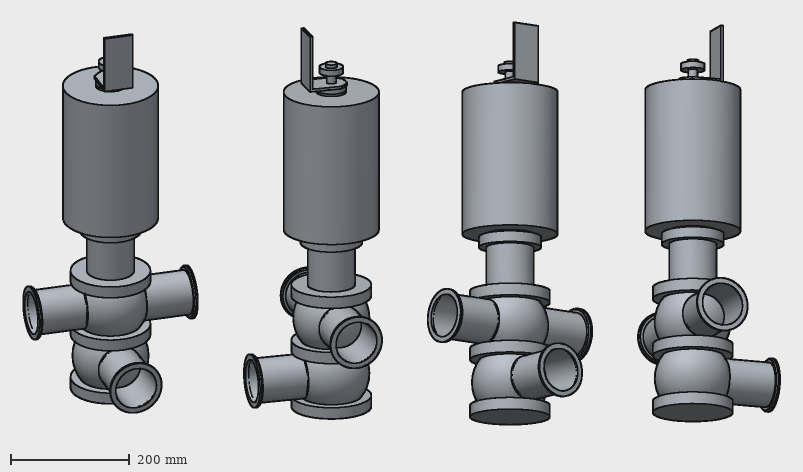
import cadquery as cq
import math

flange_dia = 135.0
flange_height = 20.0
flange_pitch = 98.0
chamber_dia = 129.0
chamber_seam_angle = 225
lower_chamber_z = (flange_height + flange_pitch) / 2
upper_chamber_z = lower_chamber_z + flange_pitch
valve_top = 2 * flange_pitch + flange_height

pipe_dia = 76.0
bore_dia = 72.0
pipe_reach = 140.0
ferrule_dia = 91.0
ferrule_rim = 3.5
ferrule_back_dia = 86.0
ferrule_length = 6.0

neck_dia = 80.0
collar_dia = 105.0
collar_bottom = 291.0
collar_height = 18.0
actuator_dia = 161.0
actuator_bottom = 313.5
actuator_top = 557.5

seat_width = 50.0
seat_split = 561.5
seat_top = 569.5
stem_dia = 16.0
knob_dia = 40.0
knob_bottom = 591.5
knob_height = 11.0
cap_dia = 19.5
cap_top = 608.0

bracket_top = 667.0
bracket_right = 45.5
plate_thickness = 5.0

octagon_half_flat = seat_width / 2 * math.tan(math.pi / 8)


def disc(diameter, bottom, top):
    """Vertical cylinder on the valve axis."""
    return cq.Workplane("XY").workplane(offset=bottom).circle(diameter / 2).extrude(top - bottom)


def pipe_branch(height, angle):
    """Pipe with a clamp ferrule, pointing along +X and then turned about Z."""
    profile = [
        (0, 0),
        (pipe_reach, 0),
        (pipe_reach, ferrule_dia / 2),
        (pipe_reach - ferrule_rim, ferrule_dia / 2),
        (pipe_reach - ferrule_length, ferrule_back_dia / 2),
        (pipe_reach - ferrule_length, pipe_dia / 2),
        (0, pipe_dia / 2),
    ]
    pipe = cq.Workplane("XY").polyline(profile).close().revolve(360, (0, 0, 0), (1, 0, 0))
    bore = cq.Workplane("YZ").circle(bore_dia / 2).extrude(pipe_reach)
    branch = pipe.cut(bore).rotate((0, 0, 0), (0, 0, 1), angle)
    return branch.translate((0, 0, height))


def ball_chamber(height):
    """Ball trimmed to the space between two neighbouring flanges."""
    half_gap = (flange_pitch - flange_height) / 2
    end_radius = math.sqrt((chamber_dia / 2) ** 2 - half_gap**2)
    return (
        cq.Workplane("XZ")
        .moveTo(0, -half_gap)
        .lineTo(end_radius, -half_gap)
        .threePointArc((chamber_dia / 2, 0), (end_radius, half_gap))
        .lineTo(0, half_gap)
        .close()
        .revolve(360, (0, 0, 0), (0, 1, 0))
        .rotate((0, 0, 0), (0, 0, 1), chamber_seam_angle)
        .translate((0, 0, height))
    )


def make_valve():
    """Valve housing, pipes and actuator with its top boss as one solid."""
    valve = disc(neck_dia, valve_top, actuator_bottom)
    for level in range(3):
        bottom = level * flange_pitch
        valve = valve.union(disc(flange_dia, bottom, bottom + flange_height))
    for height, angle in [(lower_chamber_z, 0), (upper_chamber_z, 90), (upper_chamber_z, -90)]:
        valve = valve.union(pipe_branch(height, angle))
    for height in (lower_chamber_z, upper_chamber_z):
        valve = valve.union(ball_chamber(height))
    valve = valve.union(disc(collar_dia, collar_bottom, collar_bottom + collar_height))
    valve = valve.union(disc(actuator_dia, actuator_bottom, actuator_top))
    return valve.union(disc(seat_width, actuator_top, seat_split))


def make_bracket():
    """Plate with a half-octagon end and an upright tab."""
    half_width = seat_width / 2
    outline = [
        (bracket_right, -half_width),
        (bracket_right, half_width),
        (-octagon_half_flat, half_width),
        (-half_width, octagon_half_flat),
        (-half_width, -octagon_half_flat),
        (-octagon_half_flat, -half_width),
    ]
    plate = cq.Workplane("XY").workplane(offset=seat_top).polyline(outline).close().extrude(plate_thickness)
    upright = cq.Workplane("XY").box(
        plate_thickness, seat_width, bracket_top - seat_top, centered=(False, True, False)
    )
    upright = upright.translate((bracket_right - plate_thickness, 0, seat_top))
    return plate.union(upright)


def make_indicator():
    """Bracket on a round foot, with a stem and knob rising through it."""
    indicator = make_bracket().union(disc(seat_width, seat_split, seat_top))
    indicator = indicator.union(disc(stem_dia, seat_top, knob_bottom))
    indicator = indicator.union(disc(knob_dia, knob_bottom, knob_bottom + knob_height))
    return indicator.union(disc(cap_dia, knob_bottom + knob_height, cap_top))


valve = make_valve()
indicator = make_indicator()
result = cq.Compound.makeCompound([valve.val(), indicator.val()])